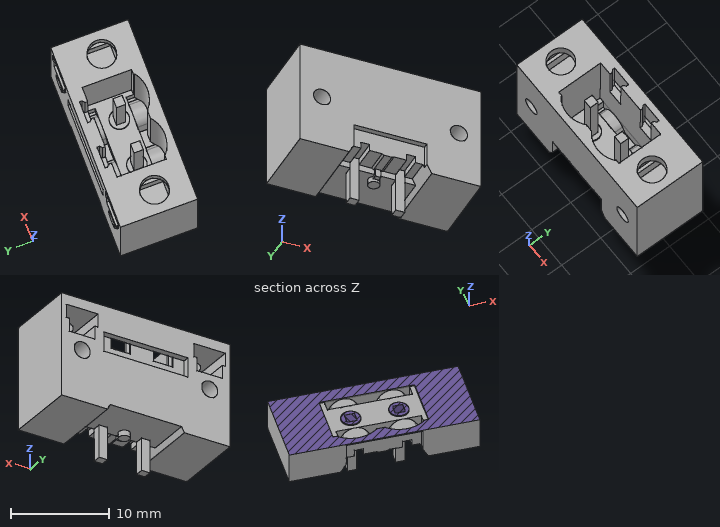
import cadquery as cq
import math

LENGTH = 20.15
WIDTH = 8.43
HEIGHT = 12.04

PIN_PITCH = 5.08
PIN_Y = -0.42
PIN_SIDE = 1.0
PIN_TOP_DEPTH = 0.97
PIN_TOP = HEIGHT - PIN_TOP_DEPTH
PIN_BOTTOM = -3.17
PIN_XS = (-PIN_PITCH / 2, PIN_PITCH / 2)
PIN_FRONT = PIN_Y - PIN_SIDE / 2

CAVITY_LENGTH = 10.04
CAVITY_WIDTH = 5.36
BACK_WALL_DRAFT = 0.06
FLOOR_Z = 3.57
COLLAR_RADIUS = 1.05
COLLAR_HEIGHT = 0.2
BULGE_RADIUS = 3.23
BULGE_FRONT = -3.47

TROUGH_LENGTH = 9.0
TROUGH_BOTTOM = 2.22
BACK_TROUGH_Y = 1.47
FRONT_TROUGH_Y = -1.9
DOME_HALF_WIDTH = 1.65
DOME_ARC_HALF_WIDTH = 1.25
DOME_FLANK_ANGLE = 56.0

DOVETAIL_BACK = 3.47
DOVETAIL_FLANK_BACK = 3.2
DOVETAIL_FLANK_FRONT = 2.96
DOVETAIL_WIDE = 2.34
DOVETAIL_NARROW = 1.81
DOVETAIL_DEPTH = 4.23
DOVETAIL_BOTTOM = HEIGHT - DOVETAIL_DEPTH
WINDOW_RISE = 1.13

FLANGE_X = 7.62
SCREW_RADIUS = 1.51
SCREW_DEPTH = 1.2
NUT_SLOT_STEP = 0.36
NUT_SLOT_HEIGHT = 1.53
SIDE_HOLE_RADIUS = 0.95
SIDE_HOLE_Z = 6.03

CHANNEL_MOUTH = 9.2
CHANNEL_TOP = 7.75
FRONT_CHANNEL_Z = 1.33
REAR_CHANNEL_Z = 0.62
REAR_CHANNEL_FRONT = PIN_FRONT
RECESS_LENGTH = 8.1
RECESS_DEPTH = 0.6
RECESS_TOP = 3.57
NOTCH_TOP = 2.08
NOTCH_WIDTH = 0.97
LIP_DROP = 0.12
LIP_LENGTH = 1.33
LIP_TIP_LENGTH = 0.85
RECESS_Y = -WIDTH / 2 + RECESS_DEPTH

LEG_RADIUS = 0.62
LEG_Y = 0.0
RIB_THICKNESS = 0.6
RIB_PROTRUSION = 0.2
RIB_FRONT = REAR_CHANNEL_FRONT - RIB_PROTRUSION
RIB_BOTTOM = 0.3


def box(x_range, y_range, z_range):
    """Box between the given (low, high) limits."""
    size = [high - low for low, high in (x_range, y_range, z_range)]
    corner = [low for low, high in (x_range, y_range, z_range)]
    return cq.Workplane("XY").box(*size, centered=False).translate(tuple(corner))


def centred(length, middle=0.0):
    """Limits of a stretch of the given length around its middle."""
    return (middle - length / 2, middle + length / 2)


def along_y(outline, y_range):
    """Extrude a closed XZ outline between two Y positions."""
    low, high = y_range
    return outline.extrude(low - high).translate((0, low, 0))


def cylinder(x, y, radius, z_range):
    low, high = z_range
    return cq.Workplane("XY", origin=(x, y, low)).circle(radius).extrude(high - low)


def bulges(bottom):
    """Round front bays of the cavity, one in front of each pin."""
    limits = box(centred(TROUGH_LENGTH), (BULGE_FRONT, FRONT_TROUGH_Y), (bottom, HEIGHT))
    rounds = cq.Workplane("XY")
    for x in PIN_XS:
        rounds = rounds.union(cylinder(x, BULGE_FRONT + BULGE_RADIUS, BULGE_RADIUS, (bottom, HEIGHT)))
    return rounds.intersect(limits)


def dome(x, y_range):
    """Round-topped ridge with straight flanks, level with the cavity floor at its crest."""
    angle = math.radians(DOME_FLANK_ANGLE)
    radius = DOME_ARC_HALF_WIDTH / math.sin(angle)
    shoulder = FLOOR_Z - radius * (1 - math.cos(angle))
    foot = shoulder - (DOME_HALF_WIDTH - DOME_ARC_HALF_WIDTH) * math.tan(angle)
    outline = (
        cq.Workplane("XZ")
        .moveTo(x - DOME_HALF_WIDTH, TROUGH_BOTTOM)
        .lineTo(x - DOME_HALF_WIDTH, foot)
        .lineTo(x - DOME_ARC_HALF_WIDTH, shoulder)
        .threePointArc((x, FLOOR_Z), (x + DOME_ARC_HALF_WIDTH, shoulder))
        .lineTo(x + DOME_HALF_WIDTH, foot)
        .lineTo(x + DOME_HALF_WIDTH, TROUGH_BOTTOM)
        .close()
    )
    return along_y(outline, y_range)


def cavity_hall():
    """Main cavity space, whose back wall leans slightly inwards towards the floor."""
    front = -CAVITY_WIDTH / 2
    back_top = CAVITY_WIDTH / 2
    back_floor = back_top - BACK_WALL_DRAFT
    profile = [(front, FLOOR_Z), (back_floor, FLOOR_Z), (back_top, HEIGHT), (front, HEIGHT)]
    return cq.Workplane("YZ").polyline(profile).close().extrude(CAVITY_LENGTH / 2, both=True)


def cavity():
    front = -CAVITY_WIDTH / 2
    back_floor = CAVITY_WIDTH / 2 - BACK_WALL_DRAFT
    space = cavity_hall()
    for x in PIN_XS:
        space = space.cut(cylinder(x, PIN_Y, COLLAR_RADIUS, (FLOOR_Z, FLOOR_Z + COLLAR_HEIGHT)))
    troughs = bulges(TROUGH_BOTTOM)
    for y_range in ((BACK_TROUGH_Y, back_floor), (front, FRONT_TROUGH_Y)):
        troughs = troughs.union(box(centred(TROUGH_LENGTH), y_range, (TROUGH_BOTTOM, FLOOR_Z)))
    for x in PIN_XS:
        troughs = troughs.cut(dome(x, (BACK_TROUGH_Y, back_floor)))
        troughs = troughs.cut(dome(x, (BULGE_FRONT, FRONT_TROUGH_Y)))
    return space.union(troughs)


def dovetail_slot(x):
    wide = DOVETAIL_WIDE / 2
    narrow = DOVETAIL_NARROW / 2
    right_side = [
        (narrow, CAVITY_WIDTH / 2 - BACK_WALL_DRAFT),
        (narrow, DOVETAIL_FLANK_FRONT),
        (wide, DOVETAIL_FLANK_BACK),
        (wide, DOVETAIL_BACK),
    ]
    left_side = [(-dx, y) for dx, y in reversed(right_side)]
    return (
        cq.Workplane("XY", origin=(x, 0, DOVETAIL_BOTTOM))
        .polyline(right_side + left_side)
        .close()
        .extrude(HEIGHT - DOVETAIL_BOTTOM)
    )


def back_window():
    """Recess in the back face that opens the foot of both dovetail slots to the outside."""
    heights = centred(2 * WINDOW_RISE, DOVETAIL_BOTTOM)
    return box(centred(CAVITY_LENGTH), (DOVETAIL_BACK, WIDTH / 2), heights)


def flange_openings(x):
    """Screw hole, stepped nut slot and cross hole of one flange."""
    slot_top = HEIGHT - SCREW_DEPTH
    slot_step = slot_top - NUT_SLOT_HEIGHT
    slot_bottom = slot_step - NUT_SLOT_HEIGHT
    slot_y = (PIN_Y - SCREW_RADIUS, WIDTH / 2)
    lower_length = 2 * SCREW_RADIUS
    upper_length = lower_length + 2 * NUT_SLOT_STEP
    screw_hole = cylinder(x, PIN_Y, SCREW_RADIUS, (slot_top, HEIGHT))
    upper_slot = box(centred(upper_length, x), slot_y, (slot_step, slot_top))
    lower_slot = box(centred(lower_length, x), slot_y, (slot_bottom, slot_step))
    side_hole = along_y(
        cq.Workplane("XZ").center(x, SIDE_HOLE_Z).circle(SIDE_HOLE_RADIUS), centred(WIDTH)
    )
    return screw_hole.union(upper_slot).union(lower_slot).union(side_hole)


def channel(top, y_range):
    """Channel across the underside whose sides lean inwards up to its top."""
    lean = (CHANNEL_MOUTH - CHANNEL_TOP) / 2 * top / FRONT_CHANNEL_Z
    mouth_half = CHANNEL_MOUTH / 2
    top_half = mouth_half - lean
    corners = [(-mouth_half, 0), (mouth_half, 0), (top_half, top), (-top_half, top)]
    return along_y(cq.Workplane("XZ").polyline(corners).close(), y_range)


def lip():
    """Shallow trapezoid hanging from the middle of the front channel."""
    low = FRONT_CHANNEL_Z - LIP_DROP
    half = LIP_LENGTH / 2
    tip_half = LIP_TIP_LENGTH / 2
    corners = [(-half, FRONT_CHANNEL_Z), (-tip_half, low), (tip_half, low), (half, FRONT_CHANNEL_Z)]
    return along_y(cq.Workplane("XZ").polyline(corners).close(), (RECESS_Y, REAR_CHANNEL_FRONT))


def underside():
    """Space removed below the housing, leaving the lip, leg and rib standing in it."""
    space = channel(FRONT_CHANNEL_Z, (-WIDTH / 2, REAR_CHANNEL_FRONT))
    space = space.union(channel(REAR_CHANNEL_Z, (REAR_CHANNEL_FRONT, WIDTH / 2)))
    space = space.union(box(centred(RECESS_LENGTH), (-WIDTH / 2, RECESS_Y), (0, RECESS_TOP)))
    space = space.cut(lip())
    for x in PIN_XS:
        space = space.union(box(centred(NOTCH_WIDTH, x), (RECESS_Y, PIN_FRONT), (0, NOTCH_TOP)))
    leg = cylinder(0, LEG_Y, LEG_RADIUS, (0, REAR_CHANNEL_Z))
    rib = box(centred(RIB_THICKNESS), (RIB_FRONT, LEG_Y), (RIB_BOTTOM, FRONT_CHANNEL_Z))
    return space.cut(leg).cut(rib)


def pin(x):
    return box(centred(PIN_SIDE, x), centred(PIN_SIDE, PIN_Y), (PIN_BOTTOM, PIN_TOP))


def make_housing():
    body = box(centred(LENGTH), centred(WIDTH), (0, HEIGHT))
    body = body.cut(cavity()).cut(underside()).cut(back_window())
    for x in PIN_XS:
        body = body.cut(dovetail_slot(x)).cut(pin(x))
    for x in (-FLANGE_X, FLANGE_X):
        body = body.cut(flange_openings(x))
    return body


housing = make_housing()
pins = [pin(x).val() for x in PIN_XS]

result = cq.Compound.makeCompound([housing.val(), *pins])